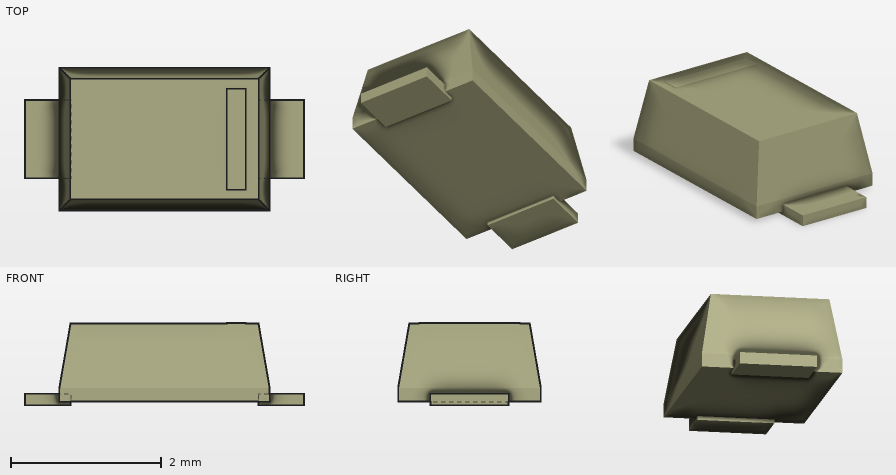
import cadquery as cq

overall_length = 3.71
overall_height = 1.1

body_length = 2.797
body_width = 1.9
standoff = 0.052
band_height = 0.18
taper_inset = 0.15
mark_thickness = 0.007
body_top = overall_height - mark_thickness
band_top = standoff + band_height

lead_length = 0.61
lead_width = 1.043
lead_thickness = 0.155
lead_center_x = (overall_length - lead_length) / 2

mark_length = 0.25
mark_width = 1.34
mark_center_x = 0.955


def make_lead(side):
    """Flat lead at the +X (side = 1) or -X (side = -1) end."""
    return (
        cq.Workplane("XY")
        .center(side * lead_center_x, 0)
        .rect(lead_length, lead_width)
        .extrude(lead_thickness)
    )


def make_housing(leads):
    """Base band and tapered cap, with a recess for each lead."""
    band = (
        cq.Workplane("XY", origin=(0, 0, standoff))
        .rect(body_length, body_width)
        .extrude(band_height)
    )
    cap = (
        cq.Workplane("XY", origin=(0, 0, band_top))
        .rect(body_length, body_width)
        .workplane(offset=body_top - band_top)
        .rect(body_length - 2 * taper_inset, body_width - 2 * taper_inset)
        .loft(ruled=True)
    )
    housing = band.union(cap)
    for lead in leads:
        housing = housing.cut(lead)
    return housing


def make_polarity_mark():
    """Thin bar lying on the top face near the +X end."""
    return (
        cq.Workplane("XY", origin=(mark_center_x, 0, body_top))
        .rect(mark_length, mark_width)
        .extrude(mark_thickness)
    )


leads = [make_lead(side) for side in (-1, 1)]
housing = make_housing(leads)
polarity_mark = make_polarity_mark()

result = cq.Compound.makeCompound(
    [housing.val(), polarity_mark.val(), *[lead.val() for lead in leads]]
)